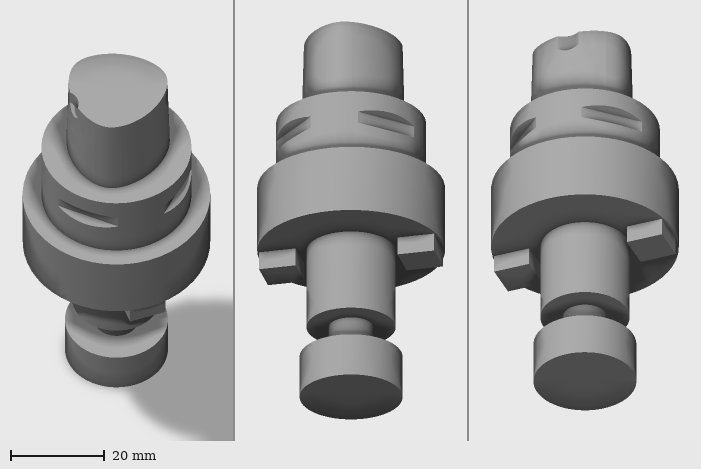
import cadquery as cq
import math

head_diameter = 22.0
neck_diameter = 9.5
spigot_diameter = 19.0
flange_diameter = 40.0
collar_diameter = 32.0
head_top = 9.5
neck_top = 16.5
spigot_top = 34.6
flange_top = 49.5
collar_top = 64.6
total_height = 83.5

key_outer_x = 19.2
key_length = 8.0
key_width = 8.0
key_height = 4.0

notch_count = 4
notch_first_angle = 45
notch_floor_distance = 14.4
notch_floor_height = 2.6
notch_wall_angle = 28
notch_wall_slope = math.tan(math.radians(notch_wall_angle))
notch_center_z = 58.5

shank_base_width = 22.05
shank_top_width = 21.05
lobe_height = 0.7
lobe_count = 3
lobe_half_angle = 25
curve_steps = 8

groove_radius = 3.7
groove_depth = 1.0
groove_length = 3.25
groove_cone_height = groove_radius


def cylinder(diameter, bottom, top):
    return cq.Workplane("XY").workplane(offset=bottom).circle(diameter / 2).extrude(top - bottom)


def make_body():
    body = cylinder(head_diameter, 0, head_top)
    body = body.union(cylinder(neck_diameter, head_top, neck_top))
    body = body.union(cylinder(spigot_diameter, neck_top, spigot_top))
    body = body.union(cylinder(flange_diameter, spigot_top, flange_top))
    return body.union(cylinder(collar_diameter, flange_top, collar_top))


def lobed_point(width, normal_angle):
    """Point on a curve of constant width, where its outward normal has the given angle in degrees."""
    angle = math.radians(normal_angle)
    phase = lobe_count * (angle - math.pi / 2)
    support = width / 2 + lobe_height * math.cos(phase)
    support_slope = -lobe_count * lobe_height * math.sin(phase)
    x = support * math.cos(angle) - support_slope * math.sin(angle)
    y = support * math.sin(angle) + support_slope * math.cos(angle)
    return x, y


def make_lobed_wire(width, height):
    """Closed outline of one shank section, a smooth curve for each lobe tip and each flank."""
    seam_angles = []
    for lobe in range(lobe_count):
        lobe_angle = 90 + lobe * 360 / lobe_count
        seam_angles += [lobe_angle - lobe_half_angle, lobe_angle + lobe_half_angle]
    seam_angles.append(seam_angles[0] + 360)

    edges = []
    for start, end in zip(seam_angles, seam_angles[1:]):
        points = []
        for step in range(curve_steps + 1):
            x, y = lobed_point(width, start + (end - start) * step / curve_steps)
            points.append(cq.Vector(x, y, height))
        edges.append(cq.Edge.makeSpline(points))
    return cq.Wire.assembleEdges(edges)


def make_shank():
    base = make_lobed_wire(shank_base_width, collar_top)
    top = make_lobed_wire(shank_top_width, total_height)
    return cq.Workplane(cq.Solid.makeLoft([base, top], True))


def make_groove():
    """Drill-shaped cutter: a cylinder ending in a cone, its axis outside the shank."""
    shank_side_y = -(shank_top_width / 2 - lobe_height)
    axis_y = shank_side_y + groove_depth - groove_radius
    shoulder_z = total_height - groove_length
    return (
        cq.Workplane("XZ")
        .moveTo(0, total_height)
        .lineTo(groove_radius, total_height)
        .lineTo(groove_radius, shoulder_z)
        .lineTo(0, shoulder_z - groove_cone_height)
        .close()
        .revolve(360, (0, 0, 0), (0, 1, 0))
        .translate((0, axis_y, 0))
    )


def make_notch(angle):
    """Cutter with a flat floor and walls that open outward."""
    cutter_depth = collar_diameter / 2 - notch_floor_distance
    floor_half = notch_floor_height / 2
    mouth_half = floor_half + cutter_depth * notch_wall_slope
    mouth_distance = notch_floor_distance + cutter_depth
    return (
        cq.Workplane("XZ")
        .moveTo(notch_floor_distance, notch_center_z - floor_half)
        .lineTo(mouth_distance, notch_center_z - mouth_half)
        .lineTo(mouth_distance, notch_center_z + mouth_half)
        .lineTo(notch_floor_distance, notch_center_z + floor_half)
        .close()
        .extrude(collar_diameter / 2, both=True)
        .rotate((0, 0, 0), (0, 0, 1), angle)
    )


def make_keys():
    key_center_x = key_outer_x - key_length / 2
    return (
        cq.Workplane("XY")
        .workplane(offset=spigot_top)
        .pushPoints([(-key_center_x, 0), (key_center_x, 0)])
        .rect(key_length, key_width)
        .extrude(-key_height)
    )


result = make_body().union(make_keys()).union(make_shank()).cut(make_groove())
for index in range(notch_count):
    result = result.cut(make_notch(notch_first_angle + index * 360 / notch_count))